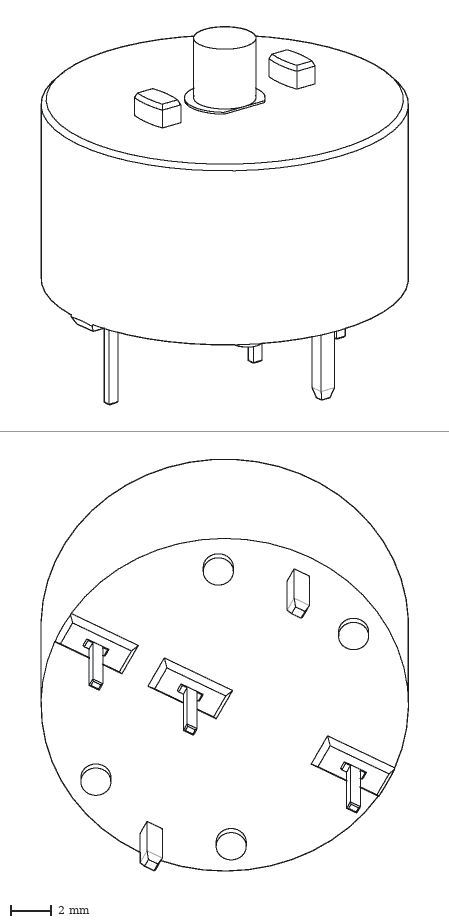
import cadquery as cq


body_diameter = 18.2
body_height = 9.5
body_chamfer = 0.25

shaft_diameter = 3.1
shaft_top = 12.78
collar_diameter = 4.0
collar_height = 0.1

key_length = 2.22
key_end_width = 1.16
key_bulge = 0.13
key_height = 1.2
key_offset = 4.25
key_chamfer_height = 0.25
key_chamfer_width = 0.13

blade_size_x = 0.75
blade_size_y = 0.85
blade_offset = 7.8
blade_shank = 3.42
blade_length = 3.97
blade_tip_inset = 0.16

pad_diameter = 1.5
pad_height = 0.47
pad_offset_x = 6.5
pad_offset_y = 3.79

pin_positions_y = (-7.2, 1.93, 7.2)
pin_size_x = 0.4
pin_size_y = 0.56
pin_length = 4.88
pin_tip_chamfer = 0.07
foot_top_x = 1.75
foot_top_y = 3.82
foot_bottom_x = 1.3
foot_bottom_y = 3.3
foot_height = pad_height
shoulder_top_y = 1.24
shoulder_bottom_y = 1.1
shoulder_height = 0.11


def upright_cylinder(diameter, z_start, height):
    return cq.Workplane("XY").workplane(offset=z_start).circle(diameter / 2).extrude(height)


def rectangular_taper(start_x, start_y, end_x, end_y, z_start, height):
    """Block that changes from one rectangle to another while going down."""
    return (
        cq.Workplane("XY")
        .workplane(offset=z_start)
        .rect(start_x, start_y)
        .workplane(offset=-height)
        .rect(end_x, end_y)
        .loft(ruled=True)
    )


def make_body():
    return upright_cylinder(body_diameter, 0, body_height).faces(">Z").chamfer(body_chamfer)


def make_shaft():
    """Shaft with a collar that is cut flat, tangent to the shaft, on the +X side."""
    shaft = upright_cylinder(shaft_diameter, body_height, shaft_top - body_height)
    collar = upright_cylinder(collar_diameter, body_height, collar_height)
    kept_width = (collar_diameter + shaft_diameter) / 2
    kept_side = (
        cq.Workplane("XY")
        .workplane(offset=body_height)
        .center((shaft_diameter - collar_diameter) / 4, 0)
        .rect(kept_width, collar_diameter)
        .extrude(collar_height)
    )
    return shaft.union(collar.intersect(kept_side))


def make_key():
    """Barrel-shaped key with flat ends, bulged long sides and a bevelled top."""
    half_length = key_length / 2
    half_end = key_end_width / 2
    half_middle = half_end + key_bulge
    return (
        cq.Workplane("XY")
        .workplane(offset=body_height)
        .moveTo(-half_length, -half_end)
        .threePointArc((0, -half_middle), (half_length, -half_end))
        .lineTo(half_length, half_end)
        .threePointArc((0, half_middle), (-half_length, half_end))
        .close()
        .extrude(key_height)
        .faces(">Z")
        .chamfer(key_chamfer_height, key_chamfer_width)
    )


def make_blade():
    shank = cq.Workplane("XY").rect(blade_size_x, blade_size_y).extrude(-blade_shank)
    tip = rectangular_taper(
        blade_size_x,
        blade_size_y,
        blade_size_x - 2 * blade_tip_inset,
        blade_size_y - 2 * blade_tip_inset,
        -blade_shank,
        blade_length - blade_shank,
    )
    return shank.union(tip)


def make_terminal():
    """Tapered foot, narrow shoulder and rectangular pin with a chamfered tip."""
    foot = rectangular_taper(foot_top_x, foot_top_y, foot_bottom_x, foot_bottom_y, 0, foot_height)
    shoulder = rectangular_taper(
        pin_size_x, shoulder_top_y, pin_size_x, shoulder_bottom_y, -foot_height, shoulder_height
    )
    pin = cq.Workplane("XY").rect(pin_size_x, pin_size_y).extrude(-pin_length)
    pin = pin.faces("<Z").chamfer(pin_tip_chamfer)
    return foot.union(shoulder).union(pin)


result = make_body().union(make_shaft())

for side in (-1, 1):
    result = result.union(make_key().translate((0, side * key_offset, 0)))
    result = result.union(make_blade().translate((side * blade_offset, 0, 0)))

pad = upright_cylinder(pad_diameter, 0, -pad_height)
for side_x in (-1, 1):
    for side_y in (-1, 1):
        result = result.union(pad.translate((side_x * pad_offset_x, side_y * pad_offset_y, 0)))

body_envelope = upright_cylinder(body_diameter, 0, -pin_length)
for pin_y in pin_positions_y:
    terminal = make_terminal().translate((0, pin_y, 0))
    result = result.union(terminal.intersect(body_envelope))